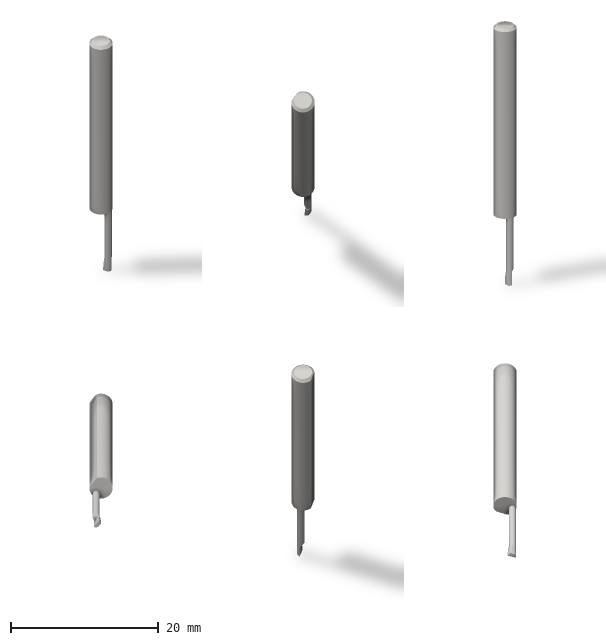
import cadquery as cq

total_length = 38.1
shank_diameter = 3.15
shank_depth = 2.95
shank_chamfer = 0.4
neck_length = 10.1
neck_diameter = 1.0

head_height = 1.83
tip_x = 0.35
head_taper = 0.15
flank_width = 0.15
flank_depth = 0.42
clearance_width = 0.35
end_relief = 0.1
rake_runout_start = 2.65

shank_radius = shank_diameter / 2
neck_radius = neck_diameter / 2
neck_x = shank_radius - neck_radius
flat_y = shank_depth - shank_radius


def make_shank():
    """Chamfered round shank with one flat along its +Y side."""
    shank = (
        cq.Workplane("XY", origin=(0, 0, neck_length))
        .circle(shank_radius)
        .extrude(total_length - neck_length)
        .faces(">Z")
        .chamfer(shank_chamfer)
    )
    flat_cutter = cq.Workplane("XY").box(
        shank_diameter, shank_radius, total_length, centered=(True, False, False)
    )
    return shank.cut(flat_cutter.translate((0, flat_y, neck_length)))


def make_neck():
    """Offset round neck, cut to half at the end with a sloped runout."""
    neck = cq.Workplane("XY").center(neck_x, 0).circle(neck_radius).extrude(neck_length)
    rake_cutter = (
        cq.Workplane("YZ")
        .polyline([
            (0, 0),
            (0, rake_runout_start - neck_radius),
            (neck_radius, rake_runout_start),
            (neck_radius, 0),
        ])
        .close()
        .extrude(shank_diameter)
    )
    return neck.cut(rake_cutter)


def head_outline(edge_x):
    """Head section: steep flank, sloped clearance face and flat underside."""
    return [
        (edge_x, 0),
        (edge_x + flank_width, -flank_depth),
        (edge_x + clearance_width, -neck_radius),
        (neck_x, -neck_radius),
        (neck_x, 0),
    ]


def make_head():
    """Head whose cutting edge leans outward toward the tip."""
    return (
        cq.Workplane("XY")
        .polyline(head_outline(tip_x))
        .close()
        .workplane(offset=head_height)
        .polyline(head_outline(tip_x + head_taper))
        .close()
        .loft(ruled=True)
    )


def relieve_end(body):
    """Slope the end face up from the tip along +X and along -Y."""
    along_x = (
        cq.Workplane("XZ")
        .polyline([(tip_x, 0), (shank_radius, end_relief), (shank_radius, 0)])
        .close()
        .extrude(neck_radius, both=True)
    )
    along_y = (
        cq.Workplane("YZ")
        .polyline([(0, 0), (-neck_radius, end_relief), (-neck_radius, 0)])
        .close()
        .extrude(shank_diameter)
    )
    return body.cut(along_x).cut(along_y)


tool_end = relieve_end(make_neck().union(make_head()))
result = make_shank().union(tool_end)